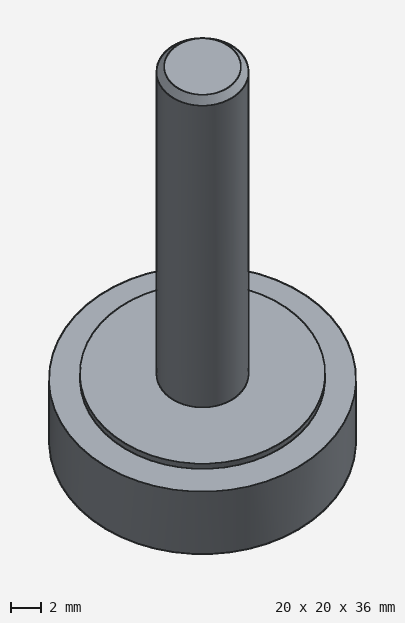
import cadquery as cq

total_height = 36.0
head_diameter = 20.0
head_height = 6.0
collar_diameter = 16.0
collar_height = 0.5
pin_diameter = 6.0
tip_chamfer = 0.5

pin_length = total_height - head_height - collar_height

head = cq.Workplane("XY").circle(head_diameter / 2).extrude(head_height)

with_collar = head.faces(">Z").workplane().circle(collar_diameter / 2).extrude(collar_height)
with_pin = with_collar.faces(">Z").workplane().circle(pin_diameter / 2).extrude(pin_length)

result = with_pin.faces(">Z").chamfer(tip_chamfer)